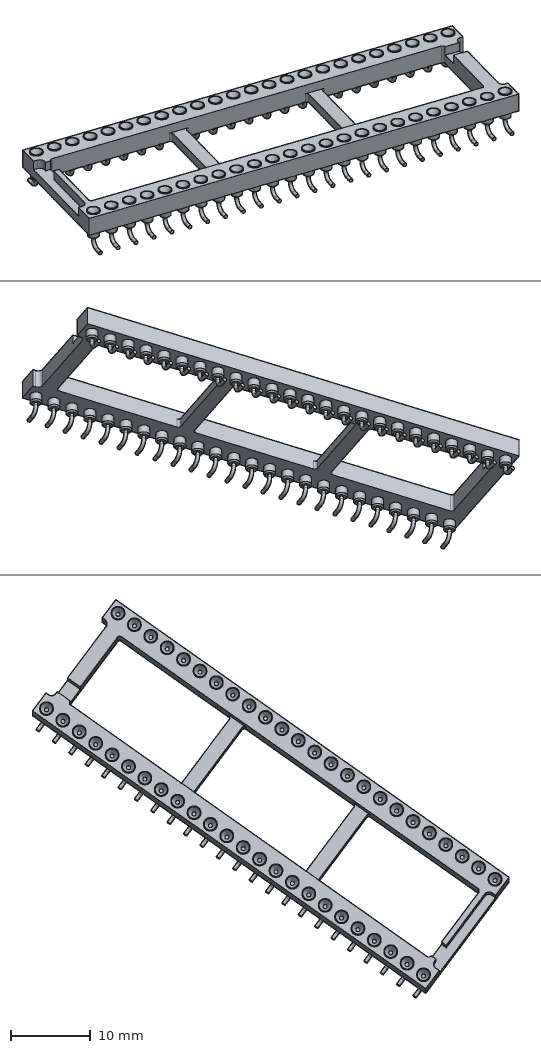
import cadquery as cq

PINS_PER_ROW = 24
PITCH = 2.54
ROW_SPACING = 15.24
ROW_X = ROW_SPACING / 2
FIRST_PIN_Y = -(PINS_PER_ROW - 1) * PITCH / 2

BODY_WIDTH = ROW_SPACING + PITCH
BODY_LENGTH = PINS_PER_ROW * PITCH
BODY_HEIGHT = 2.54
LEDGE_HEIGHT = BODY_HEIGHT / 2
FRONT_Y = -BODY_LENGTH / 2
BACK_Y = BODY_LENGTH / 2

WINDOW_COUNT = 3
WINDOW_WIDTH = 10.85
WINDOW_LENGTH = 17.37
WINDOW_CORNER_RADIUS = 0.35
CROSSBAR_WIDTH = 1.93
FRONT_BAR_WIDTH = 1.95

RECESS_WIDTH = 12.0
FRONT_RECESS_DEPTH = 1.2
RECESS_RADIUS = 0.65
BACK_NOTCH_DEPTH = 1.05

GAP_LEFT_X = -5.05
GAP_RIGHT_X = -2.85

RIM_DIAMETER = 1.72
RIM_HEIGHT = 0.13
FUNNEL_TOP_DIAMETER = 1.52
FUNNEL_BOTTOM_DIAMETER = 0.51
FUNNEL_DEPTH = 0.7
COLLAR_DIAMETER = 1.52
COLLAR_HEIGHT = 1.25
COLLAR_CHAMFER = 0.2
COLLAR_BOTTOM_Z = -COLLAR_HEIGHT
LEG_START_Z = COLLAR_BOTTOM_Z + COLLAR_CHAMFER
LEG_DIAMETER = 0.51
LEG_BEND_RADIUS = 1.05
OVERALL_WIDTH = 19.04
FOOT_TIP_X = OVERALL_WIDTH / 2
TOTAL_HEIGHT = 5.58
RIM_TOP_Z = BODY_HEIGHT + RIM_HEIGHT
FOOT_AXIS_Z = RIM_TOP_Z - TOTAL_HEIGHT + LEG_DIAMETER / 2


def box_between(x_range, y_range, z_range):
    """Axis-aligned box given by its (low, high) limits along X, Y and Z."""
    return cq.Workplane("XY").box(
        x_range[1] - x_range[0],
        y_range[1] - y_range[0],
        z_range[1] - z_range[0],
        centered=False,
    ).translate((x_range[0], y_range[0], z_range[0]))


def window_front_y(index):
    """Y of the front edge of a window, which is the back edge of the bar before it."""
    return FRONT_Y + FRONT_BAR_WIDTH + index * (WINDOW_LENGTH + CROSSBAR_WIDTH)


def make_window(index):
    """Through opening with rounded corners."""
    y_low = window_front_y(index)
    window = box_between(
        (-WINDOW_WIDTH / 2, WINDOW_WIDTH / 2),
        (y_low, y_low + WINDOW_LENGTH),
        (0, BODY_HEIGHT),
    )
    return window.edges("|Z").fillet(WINDOW_CORNER_RADIUS)


def lower_crossbars(body):
    """Cut the inner crossbars and their corner rounds down to the ledge height."""
    for index in range(1, WINDOW_COUNT):
        bar_back_y = window_front_y(index)
        bar_front_y = bar_back_y - CROSSBAR_WIDTH
        body = body.cut(box_between(
            (-WINDOW_WIDTH / 2, WINDOW_WIDTH / 2),
            (bar_front_y - WINDOW_CORNER_RADIUS, bar_back_y + WINDOW_CORNER_RADIUS),
            (LEDGE_HEIGHT, BODY_HEIGHT),
        ))
    return body


def make_body():
    """Frame with its windows, end recesses and the gap in both end bars."""
    body = box_between(
        (-BODY_WIDTH / 2, BODY_WIDTH / 2), (FRONT_Y, BACK_Y), (0, BODY_HEIGHT)
    )
    for index in range(WINDOW_COUNT):
        body = body.cut(make_window(index))
    body = lower_crossbars(body)

    recess_x = (-RECESS_WIDTH / 2, RECESS_WIDTH / 2)
    front_recess = box_between(
        recess_x, (FRONT_Y, FRONT_Y + FRONT_RECESS_DEPTH), (LEDGE_HEIGHT, BODY_HEIGHT)
    )
    body = body.cut(front_recess.edges("|Z and >Y").fillet(RECESS_RADIUS))

    back_notch = box_between(
        recess_x, (BACK_Y - BACK_NOTCH_DEPTH, BACK_Y), (0, BODY_HEIGHT)
    )
    body = body.cut(back_notch.edges("|Z and <Y").fillet(RECESS_RADIUS))

    gap = box_between(
        (GAP_LEFT_X, GAP_RIGHT_X), (FRONT_Y, BACK_Y), (LEDGE_HEIGHT, BODY_HEIGHT)
    )
    return body.cut(gap)


def make_funnel():
    """Conical lead-in of a socket, centred on the Z axis."""
    return (
        cq.Workplane("XY", origin=(0, 0, RIM_TOP_Z - FUNNEL_DEPTH))
        .circle(FUNNEL_BOTTOM_DIAMETER / 2)
        .workplane(offset=FUNNEL_DEPTH)
        .circle(FUNNEL_TOP_DIAMETER / 2)
        .loft()
    )


def make_pin():
    """Pin centred on the Z axis with its foot pointing along +X."""
    rim = (
        cq.Workplane("XY", origin=(0, 0, LEDGE_HEIGHT))
        .circle(RIM_DIAMETER / 2)
        .extrude(RIM_TOP_Z - LEDGE_HEIGHT)
    )
    collar = (
        cq.Workplane("XY", origin=(0, 0, COLLAR_BOTTOM_Z))
        .circle(COLLAR_DIAMETER / 2)
        .extrude(COLLAR_HEIGHT + LEDGE_HEIGHT)
        .faces("<Z")
        .chamfer(COLLAR_CHAMFER)
    )
    leg_path = (
        cq.Workplane("XZ")
        .moveTo(0, LEG_START_Z)
        .lineTo(0, FOOT_AXIS_Z + LEG_BEND_RADIUS)
        .radiusArc((LEG_BEND_RADIUS, FOOT_AXIS_Z), -LEG_BEND_RADIUS)
        .lineTo(FOOT_TIP_X - ROW_X, FOOT_AXIS_Z)
    )
    leg = (
        cq.Workplane("XY", origin=(0, 0, LEG_START_Z))
        .circle(LEG_DIAMETER / 2)
        .sweep(leg_path)
    )
    return rim.union(collar).union(leg)


def place_in_rows(right_item):
    """Copies of one item at every pin position, mirrored on the left row."""
    left_item = right_item.mirror("YZ")
    copies = []
    for index in range(PINS_PER_ROW):
        y = FIRST_PIN_Y + index * PITCH
        copies.append(right_item.translate((ROW_X, y, 0)).val())
        copies.append(left_item.translate((-ROW_X, y, 0)).val())
    return copies


pins = place_in_rows(make_pin())
funnels = place_in_rows(make_funnel())
socket = make_body().val().fuse(*pins).cut(*funnels)
result = cq.Workplane(socket.Solids()[0])